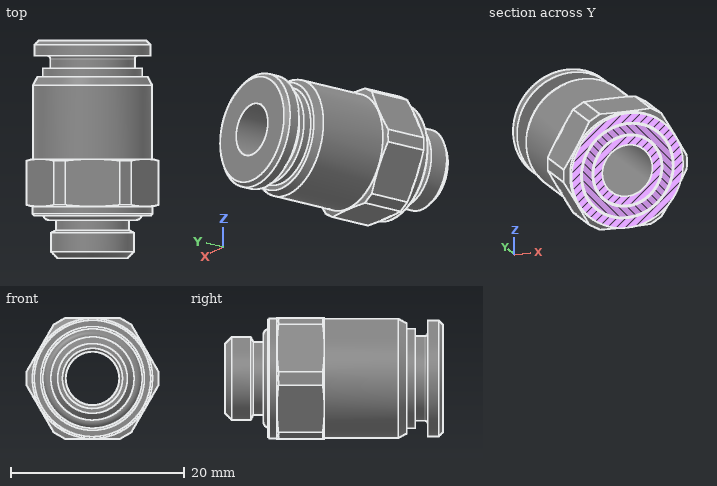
import cadquery as cq
import math

LENGTH = 25.2

BORE_RADIUS = 3.07
BORE_CHAMFER = 0.4
THREAD_RADIUS = 4.81
TIP_CHAMFER = 0.78
THREAD_RUNOUT_START = 2.97
THREAD_RUNOUT_END = 3.28
NECK_RADIUS = 4.23

RING_SECTION_RADIUS = 0.75
RING_CENTRE_RADIUS = NECK_RADIUS + RING_SECTION_RADIUS
RING_CENTRE_Y = 5.17

FLANGE_FACE_Y = 4.91
FLANGE_RADIUS = 6.95
FLANGE_CHAMFER = 0.23
GROOVE_RADIUS = RING_CENTRE_RADIUS + RING_SECTION_RADIUS
GROOVE_FLOOR_Y = RING_CENTRE_Y + RING_SECTION_RADIUS
GROOVE_CHAMFER = 0.25

HEX_START_Y = 6.0
HEX_END_Y = 11.5
HEX_ACROSS_FLATS = 14.0
HEX_ACROSS_CORNERS = 15.3
HEX_BEVEL_ANGLE = 15.0

BARREL_RADIUS = 6.9
BARREL_CHAMFER_Y = 20.03
BARREL_CHAMFER_RADIUS = 6.38
BARREL_END_Y = 21.02
COLLAR_RADIUS = 5.77
COLLAR_END_Y = 22.0
STEM_RADIUS = 4.91
STEM_FILLET = 0.3
CAP_START_Y = 23.4
CAP_RADIUS = 6.73
CAP_CHAMFER = 0.5


def revolve_profile(profile):
    """Turn a closed (radius, y) profile about the Y axis."""
    return profile.close().revolve(360, (0, 0, 0), (0, 1, 0))


def make_turned_body():
    """Outside of the housing without the hexagon, including the ring groove."""
    fillet_middle = STEM_FILLET * (1 - math.sqrt(0.5))
    profile = (
        cq.Workplane("XY")
        .moveTo(BORE_RADIUS + BORE_CHAMFER, 0)
        .lineTo(THREAD_RADIUS - TIP_CHAMFER, 0)
        .lineTo(THREAD_RADIUS, TIP_CHAMFER)
        .lineTo(THREAD_RADIUS, THREAD_RUNOUT_START)
        .lineTo(NECK_RADIUS, THREAD_RUNOUT_END)
        .lineTo(NECK_RADIUS, GROOVE_FLOOR_Y)
        .lineTo(GROOVE_RADIUS, GROOVE_FLOOR_Y)
        .lineTo(GROOVE_RADIUS, FLANGE_FACE_Y + GROOVE_CHAMFER)
        .lineTo(GROOVE_RADIUS + GROOVE_CHAMFER, FLANGE_FACE_Y)
        .lineTo(FLANGE_RADIUS - FLANGE_CHAMFER, FLANGE_FACE_Y)
        .lineTo(FLANGE_RADIUS, FLANGE_FACE_Y + FLANGE_CHAMFER)
        .lineTo(FLANGE_RADIUS, HEX_START_Y)
        .lineTo(BARREL_RADIUS, HEX_START_Y)
        .lineTo(BARREL_RADIUS, BARREL_CHAMFER_Y)
        .lineTo(BARREL_CHAMFER_RADIUS, BARREL_END_Y)
        .lineTo(COLLAR_RADIUS, BARREL_END_Y)
        .lineTo(COLLAR_RADIUS, COLLAR_END_Y)
        .lineTo(STEM_RADIUS, COLLAR_END_Y)
        .lineTo(STEM_RADIUS, CAP_START_Y - STEM_FILLET)
        .threePointArc(
            (STEM_RADIUS + fillet_middle, CAP_START_Y - fillet_middle),
            (STEM_RADIUS + STEM_FILLET, CAP_START_Y),
        )
        .lineTo(CAP_RADIUS, CAP_START_Y)
        .lineTo(CAP_RADIUS, LENGTH - CAP_CHAMFER)
        .lineTo(CAP_RADIUS - CAP_CHAMFER, LENGTH)
        .lineTo(BORE_RADIUS, LENGTH)
        .lineTo(BORE_RADIUS, BORE_CHAMFER)
    )
    return revolve_profile(profile)


def make_hex_prism(across_flats, turn_angle):
    """Sharp hexagonal prism; with no turn its flats face +Z and -Z."""
    sharp_diameter = across_flats / math.cos(math.radians(30))
    prism = (
        cq.Workplane("XZ", origin=(0, HEX_START_Y, 0))
        .polygon(6, sharp_diameter)
        .extrude(HEX_START_Y - HEX_END_Y)
    )
    return prism.rotate((0, 0, 0), (0, 1, 0), turn_angle)


def make_hexagon():
    """Hexagonal band, its corners cut flat and its ends bevelled, bored for the neck."""
    prism = make_hex_prism(HEX_ACROSS_FLATS, 0)
    corner_limit = make_hex_prism(HEX_ACROSS_CORNERS, 30)
    outer_radius = HEX_ACROSS_FLATS / 2 / math.cos(math.radians(30))
    bevel = (outer_radius - FLANGE_RADIUS) * math.tan(math.radians(HEX_BEVEL_ANGLE))
    envelope = (
        cq.Workplane("XY")
        .moveTo(NECK_RADIUS, HEX_START_Y)
        .lineTo(FLANGE_RADIUS, HEX_START_Y)
        .lineTo(outer_radius, HEX_START_Y + bevel)
        .lineTo(outer_radius, HEX_END_Y - bevel)
        .lineTo(FLANGE_RADIUS, HEX_END_Y)
        .lineTo(NECK_RADIUS, HEX_END_Y)
    )
    return prism.intersect(corner_limit).intersect(revolve_profile(envelope))


def make_housing():
    return make_turned_body().union(make_hexagon())


def make_sealing_ring():
    return cq.Workplane(
        cq.Solid.makeTorus(
            RING_CENTRE_RADIUS,
            RING_SECTION_RADIUS,
            cq.Vector(0, RING_CENTRE_Y, 0),
            cq.Vector(0, 1, 0),
        )
    )


housing = make_housing()
sealing_ring = make_sealing_ring()

result = cq.Compound.makeCompound([housing.val(), sealing_ring.val()])